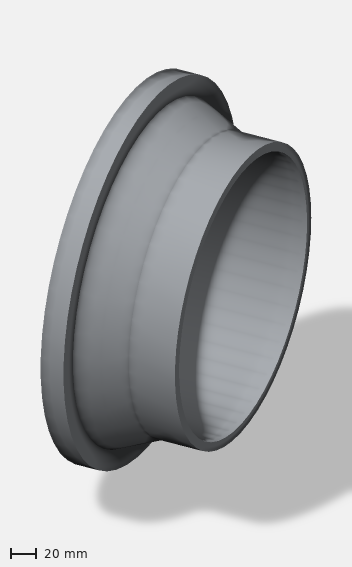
import cadquery as cq

flange_diameter = 320.0
cone_base_diameter = 285.5
spigot_diameter = 250.0
bore_diameter = 234.5
flange_thickness = 20.0
cone_length = 40.0
spigot_length = 40.0

cone_end = flange_thickness + cone_length
spigot_end = cone_end + spigot_length

half_section = (
    cq.Workplane("XY")
    .moveTo(0, bore_diameter / 2)
    .lineTo(0, flange_diameter / 2)
    .lineTo(flange_thickness, flange_diameter / 2)
    .lineTo(flange_thickness, cone_base_diameter / 2)
    .lineTo(cone_end, spigot_diameter / 2)
    .lineTo(spigot_end, spigot_diameter / 2)
    .lineTo(spigot_end, bore_diameter / 2)
    .close()
)

result = half_section.revolve(360, (0, 0, 0), (1, 0, 0))